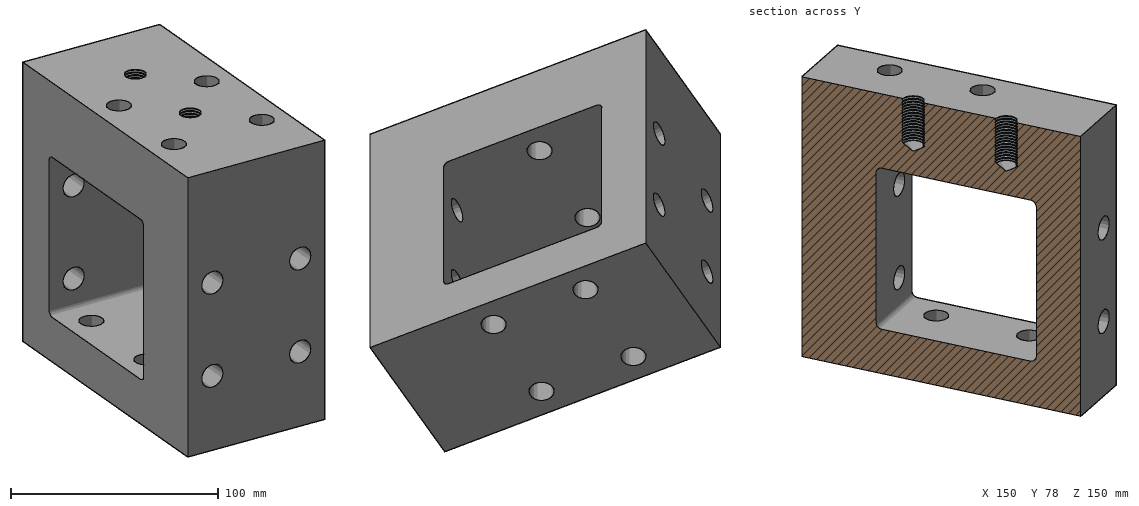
import cadquery as cq
import math

side = 150.0
block_depth = 78.0

thin_wall = 24.0
window_side = 86.0
window_corner_radius = 3.0
window_top = thin_wall + window_side
top_wall = side - window_top

hole_pitch = side / 3
front_row = -hole_pitch / 2
back_row = hole_pitch / 2

plain_diameter = 12.0
first_wall_hole = 40.0
first_top_hole = first_wall_hole + hole_pitch / 2

thread_diameter = 12.0
thread_pitch = 1.5
thread_turns = 16
tip_angle = 118.0
sharp_height = thread_pitch * math.sqrt(3) / 2
thread_height = sharp_height * 5 / 8
crest_flat = thread_pitch / 4
root_flat = thread_pitch / 8


def grid_places(first):
    """Two places one hole pitch apart."""
    return [first, first + hole_pitch]


def make_block():
    return cq.Workplane("XY").box(side, block_depth, side, centered=(False, True, False))


def make_window():
    window = cq.Workplane("XY").box(window_side, block_depth, window_side, centered=(False, True, False))
    return window.edges("|Y").fillet(window_corner_radius).translate((thin_wall, 0, thin_wall))


def make_side_holes():
    """Four holes along X, through both side walls."""
    places = [(y, z) for y in (front_row, back_row) for z in grid_places(first_wall_hole)]
    return cq.Workplane("YZ").pushPoints(places).circle(plain_diameter / 2).extrude(side)


def make_vertical_holes(first_x, base_z, depth):
    """Four holes along Z, rising from base_z."""
    places = [(x, y) for x in grid_places(first_x) for y in (front_row, back_row)]
    holes = cq.Workplane("XY").pushPoints(places).circle(plain_diameter / 2).extrude(depth)
    return holes.translate((0, 0, base_z))


def make_threaded_hole():
    """Ring-threaded hole with a drill-point bottom, its mouth at the origin."""
    major_radius = thread_diameter / 2
    minor_radius = major_radius - thread_height
    thread_length = thread_turns * thread_pitch
    tip_height = minor_radius / math.tan(math.radians(tip_angle / 2))
    mouth_half = (thread_pitch - crest_flat) / 2
    root_half = root_flat / 2

    outline = [(0, 0), (minor_radius, 0)]
    for turn in range(thread_turns):
        groove_z = -(turn + 0.5) * thread_pitch
        outline += [
            (minor_radius, groove_z + mouth_half),
            (major_radius, groove_z + root_half),
            (major_radius, groove_z - root_half),
            (minor_radius, groove_z - mouth_half),
        ]
    outline += [(minor_radius, -thread_length), (0, -thread_length - tip_height)]
    return cq.Workplane("XZ").polyline(outline).close().revolve(360, (0, 0, 0), (0, 1, 0))


result = (
    make_block()
    .cut(make_window())
    .cut(make_side_holes())
    .cut(make_vertical_holes(first_wall_hole, 0, thin_wall))
    .cut(make_vertical_holes(first_top_hole, window_top, top_wall))
)
for hole_x in grid_places(first_wall_hole):
    result = result.cut(make_threaded_hole().translate((hole_x, 0, side)))